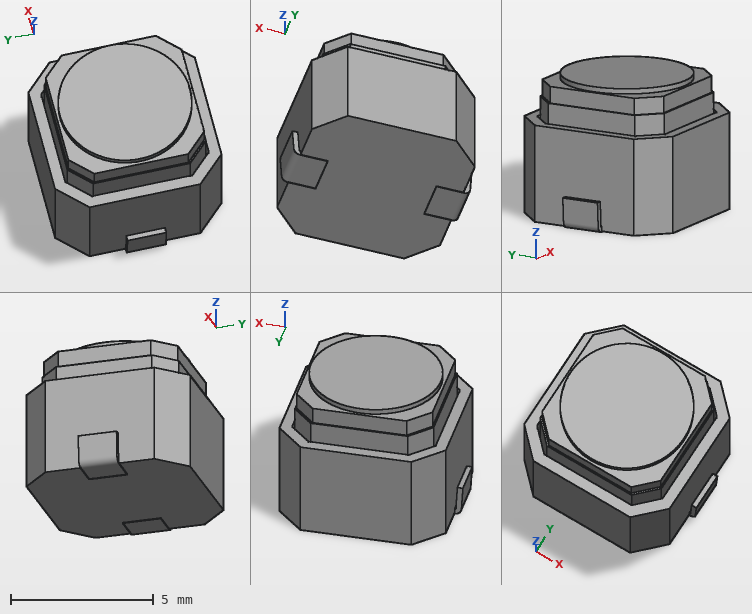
import cadquery as cq
import math

overall_length = 6.6
overall_height = 5.02
base_gap = 0.025

body_side = 6.0
body_corner = 1.0
body_top = 3.52

pocket_side = 5.175
pocket_corner = 0.78
pocket_depth = 1.715

core_corner = 0.75
lower_core_side = 4.995
lower_core_top = 4.24
upper_core_side = 4.9
upper_core_top = 4.84
disc_diameter = 4.685

terminal_width = 1.4
terminal_thickness = 0.2
terminal_top = 1.12
terminal_inner_end = 2.0
bend_outer_radius = 0.25
leg_lean = math.radians(3.4)


def octagonal_block(side, corner, bottom, top):
    """Square block with its four vertical edges cut at 45 degrees."""
    block = cq.Workplane("XY").workplane(offset=bottom).rect(side, side).extrude(top - bottom)
    return block.edges("|Z").chamfer(corner)


def body_with_core():
    """Outer shell with an open pocket, and the stepped core standing in it."""
    pocket_floor = body_top - pocket_depth
    shell = octagonal_block(body_side, body_corner, base_gap, body_top)
    pocket = octagonal_block(pocket_side, pocket_corner, pocket_floor, body_top)
    lower_core = octagonal_block(lower_core_side, core_corner, pocket_floor, lower_core_top)
    upper_core = octagonal_block(upper_core_side, core_corner, lower_core_top, upper_core_top)
    disc_height = overall_height - upper_core_top
    disc = cq.Workplane("XY").workplane(offset=upper_core_top).circle(disc_diameter / 2).extrude(disc_height)
    return shell.cut(pocket).union(lower_core).union(upper_core).union(disc)


def terminal():
    """Bent strip on the -X side: a flat foot, a rounded bend and a leaning leg."""
    bend_inner_radius = bend_outer_radius - terminal_thickness
    outer_top_x = -overall_length / 2
    inner_top_x = outer_top_x + terminal_thickness / math.cos(leg_lean)

    tangent_z = bend_outer_radius * (1 - math.sin(leg_lean))
    tangent_x = outer_top_x + (terminal_top - tangent_z) * math.tan(leg_lean)
    bend_x = tangent_x + bend_outer_radius * math.cos(leg_lean)

    def bend_point(radius, angle):
        """Point on the bend, with the angle measured down from the -X direction."""
        return (bend_x - radius * math.cos(angle), bend_outer_radius - radius * math.sin(angle))

    foot_angle = math.pi / 2
    middle_angle = (leg_lean + foot_angle) / 2
    profile = (
        cq.Workplane("XZ")
        .moveTo(-terminal_inner_end, 0)
        .lineTo(bend_x, 0)
        .threePointArc(bend_point(bend_outer_radius, middle_angle), bend_point(bend_outer_radius, leg_lean))
        .lineTo(outer_top_x, terminal_top)
        .lineTo(inner_top_x, terminal_top)
        .lineTo(*bend_point(bend_inner_radius, leg_lean))
        .threePointArc(bend_point(bend_inner_radius, middle_angle), bend_point(bend_inner_radius, foot_angle))
        .lineTo(-terminal_inner_end, terminal_thickness)
        .close()
    )
    return profile.extrude(terminal_width / 2, both=True)


left_terminal = terminal()
right_terminal = left_terminal.mirror("YZ")
result = body_with_core().union(left_terminal).union(right_terminal)